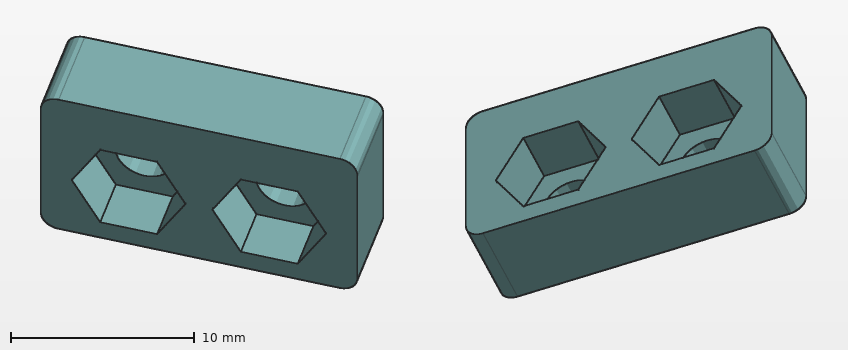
import cadquery as cq
import math

length = 18.0
thickness = 5.0
height = 10.0
corner_radius = 1.0

hole_spacing = 8.0
hole_height = 4.0
hole_diameter = 3.3
nut_across_flats = 5.6
nut_depth = 3.0

nut_across_corners = nut_across_flats / math.cos(math.pi / 6)
hole_z = hole_height - height / 2
hole_centers = [(-hole_spacing / 2, hole_z), (hole_spacing / 2, hole_z)]


def make_block():
    """Block centred on the origin in X and Z, running from the front face at Y = 0 to the back."""
    block = cq.Workplane("XZ").rect(length, height).extrude(-thickness)
    return block.edges("|Y").fillet(corner_radius)


def make_bolt_holes():
    return cq.Workplane("XZ").pushPoints(hole_centers).circle(hole_diameter / 2).extrude(-thickness)


def make_nut_pockets():
    """Hexagons with corners pointing along X, sunk from the front face."""
    return cq.Workplane("XZ").pushPoints(hole_centers).polygon(6, nut_across_corners).extrude(-nut_depth)


result = make_block().cut(make_bolt_holes()).cut(make_nut_pockets())